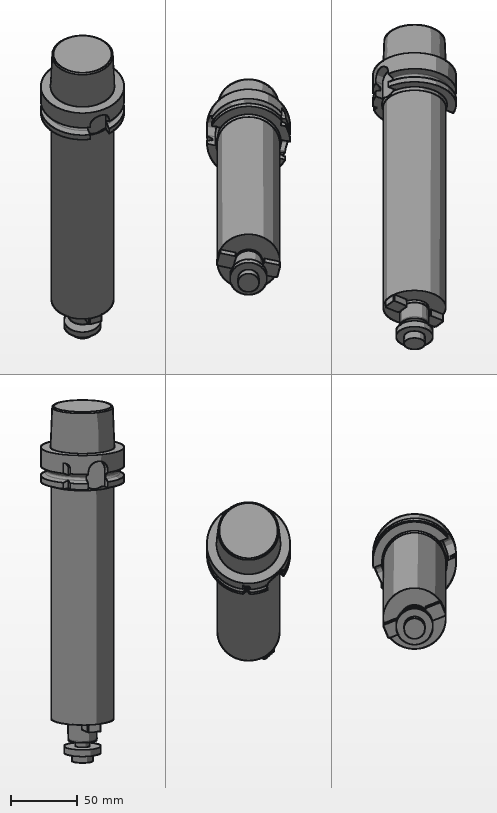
import cadquery as cq
import math

total_height = 274.5
screw_head_bottom = 6.3
screw_head_top = 11.5
pilot_bottom = 16.2
key_bottom = 27.0
pilot_relief_bottom = 30.2
body_bottom = 32.7
neck_bottom = 213.8
flange_bottom = 216.3
flange_top = 242.7
groove_mid_height = 224.5

screw_tip_diameter = 16.0
screw_head_diameter = 28.0
screw_shank_diameter = 10.7
pilot_diameter = 22.0
pilot_relief_diameter = 21.5
body_diameter = 47.5
neck_diameter = 49.5
flange_diameter = 63.0
groove_diameter = 54.4
taper_large_diameter = 48.5
taper_small_diameter = 46.0

pilot_chamfer_width = 0.3
pilot_chamfer_height = 1.5
taper_chamfer = 1.0
groove_floor_radius = 2.0
groove_flank_angle = 30.0

key_width = 11.0
key_inner_distance = 10.7
key_outer_distance = 23.5
key_chamfer = 0.8

keyway_width = 16.0
keyway_top = 237.7
keyway_floor_distance = 24.2
notch_radius = 3.8
notch_top = 236.0
notch_wall_distance = 20.3


def make_turned_body():
    """Revolve the complete turned outline about Z."""
    flange_radius = flange_diameter / 2
    groove_radius = groove_diameter / 2
    flank_angle = math.radians(groove_flank_angle)
    floor_half_width = groove_floor_radius * math.cos(flank_angle)
    flank_inner_radius = groove_radius + groove_floor_radius * (1 - math.sin(flank_angle))
    flank_rise = (flange_radius - flank_inner_radius) * math.tan(flank_angle)
    groove_half_mouth = floor_half_width + flank_rise
    taper_top_radius = taper_small_diameter / 2
    lower_outline = [
        (0, 0),
        (screw_tip_diameter / 2, 0),
        (screw_tip_diameter / 2, screw_head_bottom),
        (screw_head_diameter / 2, screw_head_bottom),
        (screw_head_diameter / 2, screw_head_top),
        (screw_shank_diameter / 2, screw_head_top),
        (screw_shank_diameter / 2, pilot_bottom),
        (pilot_diameter / 2 - pilot_chamfer_width, pilot_bottom),
        (pilot_diameter / 2, pilot_bottom + pilot_chamfer_height),
        (pilot_diameter / 2, pilot_relief_bottom),
        (pilot_relief_diameter / 2, pilot_relief_bottom),
        (pilot_relief_diameter / 2, body_bottom),
        (body_diameter / 2, body_bottom),
        (body_diameter / 2, neck_bottom),
        (neck_diameter / 2, flange_bottom),
        (flange_radius, flange_bottom),
        (flange_radius, groove_mid_height - groove_half_mouth),
        (flank_inner_radius, groove_mid_height - floor_half_width),
    ]
    groove_floor = (groove_radius, groove_mid_height)
    groove_floor_end = (flank_inner_radius, groove_mid_height + floor_half_width)
    upper_outline = [
        (flange_radius, groove_mid_height + groove_half_mouth),
        (flange_radius, flange_top),
        (taper_large_diameter / 2, flange_top),
        (taper_top_radius, total_height - taper_chamfer),
        (taper_top_radius - taper_chamfer, total_height),
        (0, total_height),
    ]
    return (
        cq.Workplane("XZ")
        .polyline(lower_outline)
        .threePointArc(groove_floor, groove_floor_end)
        .polyline(upper_outline, includeCurrent=True)
        .close()
        .revolve(360, (0, 0), (0, 1))
    )


def make_driving_key():
    """Key on the +X side with chamfered upright edges, its inner end set into the pilot."""
    key_length = key_outer_distance - key_inner_distance
    return (
        cq.Workplane("XY")
        .workplane(offset=key_bottom)
        .center(key_inner_distance + key_length / 2, 0)
        .rect(key_length, key_width)
        .extrude(body_bottom - key_bottom)
        .edges("|Z")
        .chamfer(key_chamfer)
    )


def make_round_top_cutter(radius, top, floor_distance):
    """Arch-topped cutter centred on Y = 0, running in +X from its floor and open below the neck."""
    arch_centre = top - radius
    return (
        cq.Workplane("YZ")
        .workplane(offset=floor_distance)
        .moveTo(-radius, neck_bottom)
        .lineTo(radius, neck_bottom)
        .lineTo(radius, arch_centre)
        .threePointArc((0, top), (-radius, arch_centre))
        .close()
        .extrude(flange_diameter / 2)
    )


result = make_turned_body()

key = make_driving_key()
keyway = make_round_top_cutter(keyway_width / 2, keyway_top, keyway_floor_distance)
for angle in (0, 180):
    result = result.union(key.rotate((0, 0, 0), (0, 0, 1), angle))
    result = result.cut(keyway.rotate((0, 0, 0), (0, 0, 1), angle))

notch = make_round_top_cutter(notch_radius, notch_top, notch_wall_distance)
notch = notch.rotate((0, 0, 0), (0, 0, 1), 180)
notch = notch.translate((0, notch_wall_distance + notch_radius, 0))
below_flange = cq.Workplane("XY").circle(2 * flange_diameter).extrude(flange_bottom)
result = result.cut(notch.cut(below_flange))